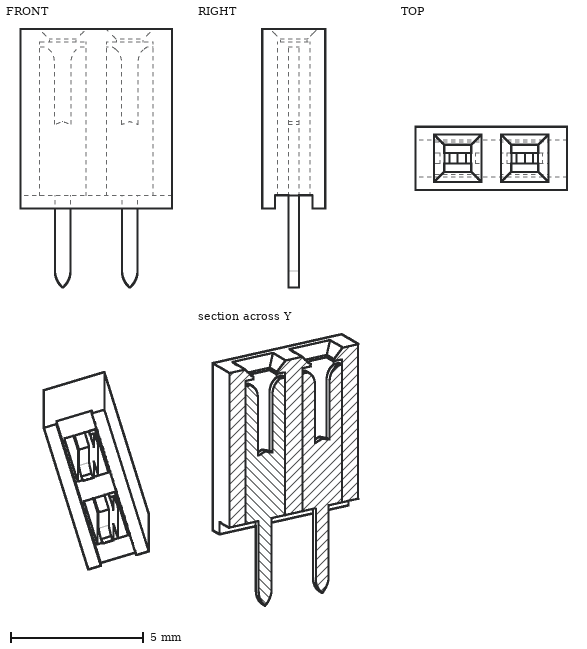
import cadquery as cq
import math

HOUSING_LENGTH = 5.74
HOUSING_WIDTH = 2.4
OVERALL_HEIGHT = 9.8
HOUSING_HEIGHT = 6.8
PITCH = 2.54
STANDOFF_SLOT_WIDTH = 1.4
STANDOFF_SLOT_DEPTH = 0.5

MOUTH_SIZE = 1.8
THROAT_SIZE = 1.02
FUNNEL_DEPTH = (MOUTH_SIZE - THROAT_SIZE) / 2
LIP_HEIGHT = 0.1
CAVITY_LENGTH = 1.74
CAVITY_WIDTH = 1.22

BLADE_THICKNESS = 0.4
TAIL_WIDTH = 0.6
TIP_LENGTH = 0.64
FORK_GAP = 0.64
FORK_MOUTH = 1.33
LEAD_IN_HEIGHT = 0.54
FORK_TOP_DROP = 0.69
FORK_DEPTH = 2.94
CROTCH_RISE = 0.12

HOUSING_TOP = OVERALL_HEIGHT
HOUSING_BOTTOM = HOUSING_TOP - HOUSING_HEIGHT
SLOT_ROOF = HOUSING_BOTTOM + STANDOFF_SLOT_DEPTH
THROAT_TOP = HOUSING_TOP - FUNNEL_DEPTH
CAVITY_TOP = THROAT_TOP - LIP_HEIGHT
FORK_TOP = HOUSING_TOP - FORK_TOP_DROP
FORK_FLOOR = FORK_TOP - FORK_DEPTH

SOCKET_CENTRES = [-PITCH / 2, PITCH / 2]


def vertical_prism(length, width, bottom, top):
    """Rectangular prism centred on the Z axis."""
    return cq.Workplane("XY", origin=(0, 0, bottom)).rect(length, width).extrude(top - bottom)


def make_socket_void():
    """Funnel, throat and cavity, open from the top face to the standoff slot."""
    funnel = (
        cq.Workplane("XY", origin=(0, 0, THROAT_TOP))
        .rect(THROAT_SIZE, THROAT_SIZE)
        .workplane(offset=FUNNEL_DEPTH)
        .rect(MOUTH_SIZE, MOUTH_SIZE)
        .loft(ruled=True)
    )
    throat = vertical_prism(THROAT_SIZE, THROAT_SIZE, CAVITY_TOP, THROAT_TOP)
    cavity = vertical_prism(CAVITY_LENGTH, CAVITY_WIDTH, SLOT_ROOF, CAVITY_TOP)
    return funnel.union(throat).union(cavity)


def make_housing():
    """Rectangular housing with a lengthwise standoff slot and two sockets."""
    body = vertical_prism(HOUSING_LENGTH, HOUSING_WIDTH, HOUSING_BOTTOM, HOUSING_TOP)
    slot = vertical_prism(HOUSING_LENGTH, STANDOFF_SLOT_WIDTH, HOUSING_BOTTOM, SLOT_ROOF)
    body = body.cut(slot)
    void = make_socket_void()
    for x in SOCKET_CENTRES:
        body = body.cut(void.translate((x, 0, 0)))
    return body


def tangent_arc_middle(flank_x, tangent_z, end_x, end_z):
    """Middle point of an arc that leaves a vertical flank tangentially and ends at (end_x, end_z)."""
    run = end_x - flank_x
    rise = end_z - tangent_z
    signed_radius = (run**2 + rise**2) / (2 * run)
    half_angle = math.asin(rise / abs(signed_radius)) / 2
    x = flank_x + signed_radius * (1 - math.cos(half_angle))
    z = tangent_z + abs(signed_radius) * math.sin(half_angle)
    return (x, z)


def make_contact(x):
    """Fork contact whose blade is wedged between the end walls of its cavity."""
    half_blade = CAVITY_LENGTH / 2
    half_tail = TAIL_WIDTH / 2
    half_gap = FORK_GAP / 2
    half_mouth = FORK_MOUTH / 2
    lead_in_bottom = FORK_TOP - LEAD_IN_HEIGHT
    tip_curve = tangent_arc_middle(half_tail, TIP_LENGTH, 0, 0)
    lead_in_curve = tangent_arc_middle(half_gap, lead_in_bottom, half_mouth, FORK_TOP)
    half_profile = (
        cq.Workplane("XZ")
        .moveTo(0, 0)
        .threePointArc(tip_curve, (half_tail, TIP_LENGTH))
        .lineTo(half_tail, SLOT_ROOF)
        .lineTo(half_blade, SLOT_ROOF)
        .lineTo(half_blade, FORK_TOP)
        .lineTo(half_mouth, FORK_TOP)
        .threePointArc(lead_in_curve, (half_gap, lead_in_bottom))
        .lineTo(half_gap, FORK_FLOOR)
        .lineTo(0, FORK_FLOOR + CROTCH_RISE)
        .close()
        .extrude(BLADE_THICKNESS / 2, both=True)
    )
    blade = half_profile.union(half_profile.mirror("YZ"))
    return blade.translate((x, 0, 0))


housing = make_housing()
contacts = [make_contact(x) for x in SOCKET_CENTRES]

result = cq.Compound.makeCompound([housing.val(), *[contact.val() for contact in contacts]])